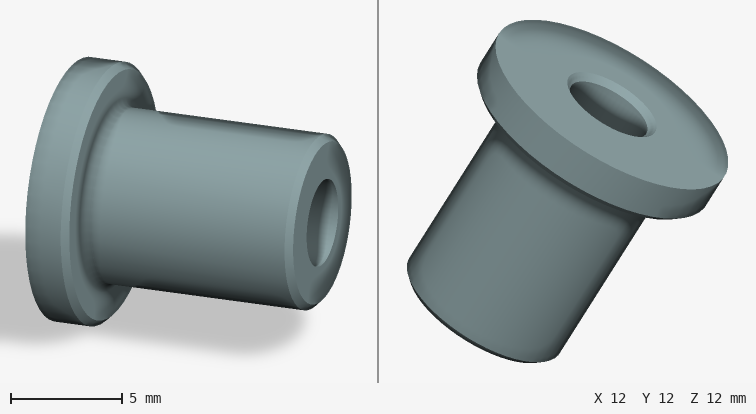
import cadquery as cq

length = 12.0
flange_diameter = 12.0
flange_thickness = 2.0
sleeve_diameter = 8.0
bore_diameter = 4.0
chamfer = 0.3
neck_fillet = 0.4

flange_radius = flange_diameter / 2
sleeve_radius = sleeve_diameter / 2
bore_radius = bore_diameter / 2


def bushing_profile():
    """Half section in the XY plane: X along the axis, Y as radius."""
    return (
        cq.Workplane("XY")
        .moveTo(0, bore_radius + chamfer)
        .lineTo(0, flange_radius)
        .lineTo(flange_thickness - chamfer, flange_radius)
        .lineTo(flange_thickness, flange_radius - chamfer)
        .lineTo(flange_thickness, sleeve_radius + neck_fillet)
        .radiusArc((flange_thickness + neck_fillet, sleeve_radius), -neck_fillet)
        .lineTo(length - chamfer, sleeve_radius)
        .lineTo(length, sleeve_radius - chamfer)
        .lineTo(length, bore_radius)
        .lineTo(chamfer, bore_radius)
        .close()
    )


result = bushing_profile().revolve(360, (0, 0, 0), (1, 0, 0))